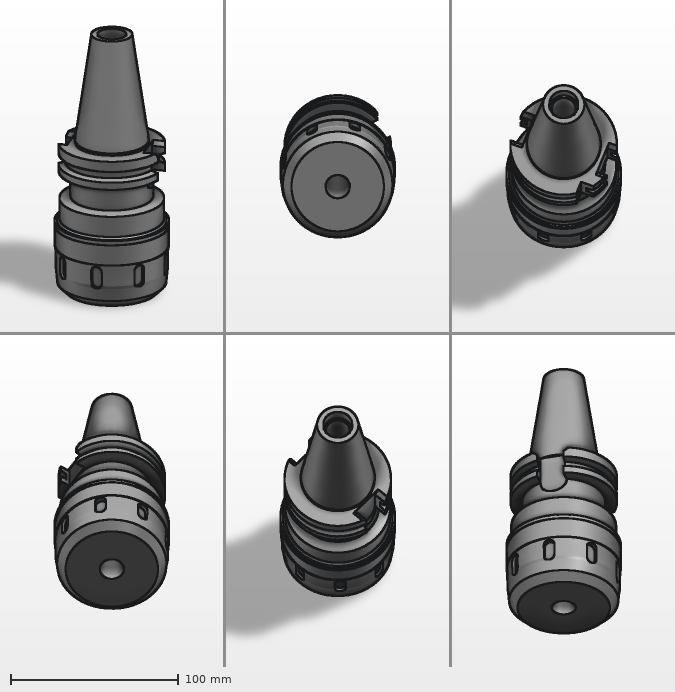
import cadquery as cq

TOTAL_HEIGHT = 163.4
NOSE_CHAMFER_Z = 5.0
NUT_STEP_LOW_Z = 12.7
NUT_STEP_HIGH_Z = 14.7
NUT_BAND_TOP_Z = 28.3
NUT_GRIP_TOP_Z = 41.3
NUT_TOP_Z = 44.1
NUT_COLLAR_Z = 45.6
BODY_TOP_Z = 58.5
NECK_BASE_Z = 60.0
FLANGE_BOTTOM_Z = 76.0
GROOVE_LOW_EDGE_Z = 80.5
GROOVE_LOW_Z = 82.0
GROOVE_HIGH_Z = 86.0
GROOVE_HIGH_EDGE_Z = 87.5
FLANGE_TOP_Z = 94.0
TAPER_BASE_Z = 95.5

NOSE_R = 27.6
NOSE_CHAMFER_R = 32.7
NUT_STEP_LOW_R = 33.3
NUT_STEP_HIGH_R = 33.7
NUT_BAND_R = 33.8
NUT_GRIP_R = 34.2
NUT_R = 34.3
NUT_COLLAR_R = 32.8
BODY_R = 31.4
NECK_R = 24.8
FLANGE_R = 31.9
GROOVE_R = 28.1
UNDERCUT_R = 21.9
TAPER_BASE_R = 22.2
TAPER_RATIO = 7 / 24
TAPER_TOP_R = TAPER_BASE_R - TAPER_RATIO / 2 * (TOTAL_HEIGHT - TAPER_BASE_Z)

BORE_R = 7.2
COUNTERBORE_R = 8.7
COUNTERBORE_DEPTH = 8.2

KEYWAY_WIDTH = 16.2
KEYWAY_CHAMFER = 2.8
KEYWAY_FLOOR_LEFT = NECK_R
KEYWAY_FLOOR_RIGHT = 22.7

NOTCH_OFFSET = 18.3

SLOT_COUNT = 8
SLOT_WIDTH = 6.5
SLOT_BOTTOM_Z = 12.9
SLOT_TOP_Z = 26.8
SLOT_FLOOR_R = 31.2

CUT_REACH = 40.8


def turned_body():
    outline = [
        (0, 0),
        (NOSE_R, 0),
        (NOSE_CHAMFER_R, NOSE_CHAMFER_Z),
        (NUT_STEP_LOW_R, NUT_STEP_LOW_Z),
        (NUT_STEP_HIGH_R, NUT_STEP_HIGH_Z),
        (NUT_BAND_R, NUT_BAND_TOP_Z),
        (NUT_GRIP_R, NUT_BAND_TOP_Z),
        (NUT_GRIP_R, NUT_GRIP_TOP_Z),
        (NUT_R, NUT_GRIP_TOP_Z),
        (NUT_R, NUT_TOP_Z),
        (NUT_COLLAR_R, NUT_TOP_Z),
        (BODY_R, NUT_COLLAR_Z),
        (BODY_R, BODY_TOP_Z),
        (NECK_R, NECK_BASE_Z),
        (NECK_R, FLANGE_BOTTOM_Z),
        (FLANGE_R, FLANGE_BOTTOM_Z),
        (FLANGE_R, GROOVE_LOW_EDGE_Z),
        (GROOVE_R, GROOVE_LOW_Z),
        (GROOVE_R, GROOVE_HIGH_Z),
        (FLANGE_R, GROOVE_HIGH_EDGE_Z),
        (FLANGE_R, FLANGE_TOP_Z),
        (UNDERCUT_R, FLANGE_TOP_Z),
        (UNDERCUT_R, TAPER_BASE_Z),
        (TAPER_BASE_R, TAPER_BASE_Z),
        (TAPER_TOP_R, TOTAL_HEIGHT),
        (0, TOTAL_HEIGHT),
    ]
    return cq.Workplane("YZ").polyline(outline).close().revolve(360, (0, 0), (0, 1))


def bore():
    through = cq.Workplane("XY").circle(BORE_R).extrude(TOTAL_HEIGHT)
    counterbore = (
        cq.Workplane("XY")
        .workplane(offset=TOTAL_HEIGHT - COUNTERBORE_DEPTH)
        .circle(COUNTERBORE_R)
        .extrude(COUNTERBORE_DEPTH)
    )
    return through.union(counterbore)


def keyway(floor_x):
    """Keyway on the +X side, open outwards, with its top edges chamfered."""
    half = KEYWAY_WIDTH / 2
    chamfer_z = FLANGE_TOP_Z - KEYWAY_CHAMFER
    section = [
        (-half, FLANGE_BOTTOM_Z),
        (half, FLANGE_BOTTOM_Z),
        (half, chamfer_z),
        (half + KEYWAY_CHAMFER, FLANGE_TOP_Z),
        (-half - KEYWAY_CHAMFER, FLANGE_TOP_Z),
        (-half, chamfer_z),
    ]
    return cq.Workplane("YZ").workplane(offset=floor_x).polyline(section).close().extrude(CUT_REACH)


def keyway_round_end(floor_x):
    """Half-round lower end of the deeper keyway, cut into the neck below the flange."""
    return (
        cq.Workplane("YZ")
        .workplane(offset=floor_x)
        .center(0, FLANGE_BOTTOM_Z)
        .circle(KEYWAY_WIDTH / 2)
        .extrude(CUT_REACH)
    )


def corner_notch():
    """Square-cornered notch through the full flange on the -X, +Y side."""
    return (
        cq.Workplane("XY")
        .workplane(offset=FLANGE_BOTTOM_Z)
        .moveTo(-NOTCH_OFFSET, NOTCH_OFFSET)
        .rect(-CUT_REACH, CUT_REACH, centered=False)
        .extrude(FLANGE_TOP_Z - FLANGE_BOTTOM_Z)
    )


def spanner_slot(angle):
    """Flat-floored upright slot with round ends."""
    return (
        cq.Workplane("YZ")
        .workplane(offset=SLOT_FLOOR_R)
        .center(0, (SLOT_BOTTOM_Z + SLOT_TOP_Z) / 2)
        .slot2D(SLOT_TOP_Z - SLOT_BOTTOM_Z, SLOT_WIDTH, 90)
        .extrude(CUT_REACH)
        .rotate((0, 0, 0), (0, 0, 1), angle)
    )


result = turned_body().cut(bore())
result = result.cut(keyway(KEYWAY_FLOOR_RIGHT))
result = result.cut(keyway(KEYWAY_FLOOR_LEFT).rotate((0, 0, 0), (0, 0, 1), 180))
result = result.cut(keyway_round_end(KEYWAY_FLOOR_RIGHT))
result = result.cut(corner_notch())
for index in range(SLOT_COUNT):
    result = result.cut(spanner_slot(index * 360 / SLOT_COUNT))